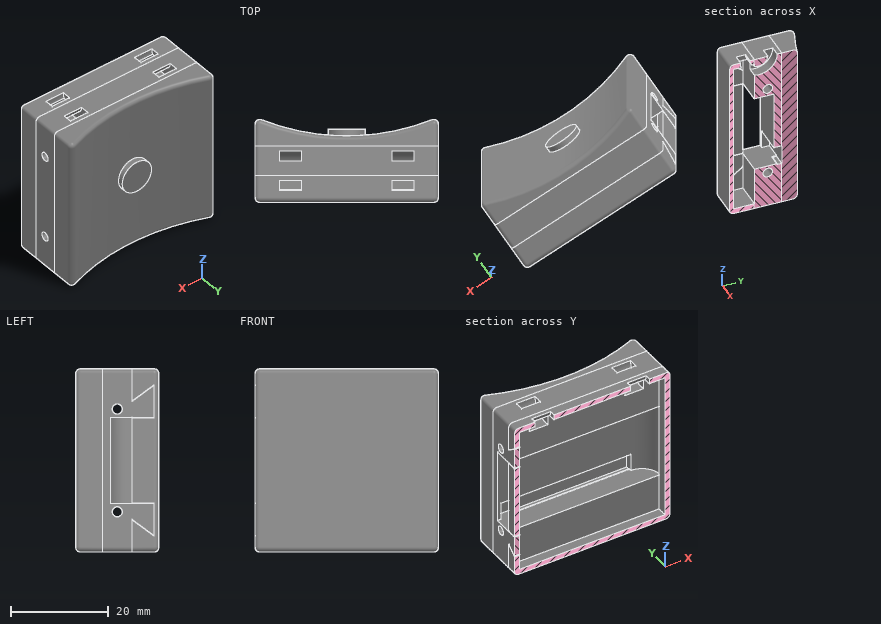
import cadquery as cq
import math

side = 37.5
half = side / 2
edge_radius = 1.0
lid_depth = 5.5
housing_depth = 6.05
housing_back = lid_depth + housing_depth

total_depth = 17.01
curve_radius = 47.5
curve_centre_y = total_depth - edge_radius + math.sqrt(
    (curve_radius + edge_radius) ** 2 - (half - edge_radius) ** 2
)
curve_low_y = curve_centre_y - curve_radius
raw_corner_y = curve_centre_y - math.sqrt(curve_radius**2 - half**2)

plate = 1.0
wall = 1.3
dovetail_root = 12.05
dovetail_tip = 15.35
slide_gap = 0.08

cavity_half_height = 8.78
cavity_back = 9.85
cavity_end_radius = cavity_back - lid_depth
cavity_end_x = half - plate
window_wall = 0.85
window_start_x = -half + window_wall
window_end_x = cavity_end_x - cavity_end_radius
window_height = 4.1
groove_start_x = -14.1
groove_width = 1.0
groove_depth = 0.2
pin_hole_diameter = 2.0
pin_hole_y = 8.5
pin_hole_z = 10.5

strap_width = 4.5
strap_x = 11.5
strap_centre_y = 6.5
strap_inner_radius = 2.0
strap_outer_radius = 4.05

button_diameter = 7.62
button_top_y = 15.0


def block(x_range, y_range, z_range):
    """Box given by its limits along each axis."""
    size = [high - low for low, high in (x_range, y_range, z_range)]
    corner = (x_range[0], y_range[0], z_range[0])
    return cq.Workplane("XY").box(*size, centered=False).translate(corner)


def make_envelope():
    """Whole rounded case with the hollow back, before it is split into bodies."""
    outline = (
        cq.Workplane("XY", origin=(0, 0, -half))
        .moveTo(-half, 0)
        .lineTo(half, 0)
        .lineTo(half, raw_corner_y)
        .threePointArc((0, curve_low_y), (-half, raw_corner_y))
        .close()
    )
    return outline.extrude(side).edges().fillet(edge_radius)


def make_slab(y_start, y_end):
    """Slice of the envelope between two Y planes."""
    return envelope.intersect(block((-half, half), (y_start, y_end), (-half, half)))


def make_strap_channels():
    """Half-ring channels that enter the top face in the housing and leave it in the lid."""
    channels = cq.Workplane("YZ")
    for x in (-strap_x, strap_x):
        ring = (
            cq.Workplane("YZ", origin=(x - strap_width / 2, strap_centre_y, half))
            .circle(strap_outer_radius)
            .circle(strap_inner_radius)
            .extrude(strap_width)
        )
        channels = channels.add(ring)
    return channels.combine()


def make_cavity():
    """Bay open at the -X side, with a rounded far corner."""
    return (
        cq.Workplane("XY", origin=(0, 0, -cavity_half_height))
        .moveTo(-half, plate)
        .lineTo(-half, cavity_back)
        .lineTo(window_end_x, cavity_back)
        .radiusArc((cavity_end_x, lid_depth), cavity_end_radius)
        .lineTo(cavity_end_x, plate)
        .close()
        .extrude(2 * cavity_half_height)
    )


def make_dovetail(gap):
    """Dovetail on the -X side, widened along Z by a gap: the housing tongue or the lid notch."""
    root = dovetail_root + gap
    tip = dovetail_tip + gap
    profile = [
        (lid_depth, -root),
        (plate, -tip),
        (plate, tip),
        (lid_depth, root),
    ]
    tongue = cq.Workplane("YZ", origin=(-half, 0, 0)).polyline(profile).close().extrude(wall)
    return tongue.intersect(envelope)


def make_lid():
    inner = half - wall
    lid = make_slab(0, lid_depth)
    lid = lid.cut(block((-inner, inner), (plate, lid_depth), (-inner, inner)))
    lid = lid.cut(make_dovetail(slide_gap)).cut(strap_channels)
    tab_half_height = cavity_half_height - slide_gap
    tab = block((-half, -inner), (plate, lid_depth), (-tab_half_height, tab_half_height))
    return lid.union(tab)


def make_housing():
    housing = make_slab(lid_depth, housing_back).union(make_dovetail(0))
    housing = housing.cut(make_cavity()).cut(strap_channels)
    window = block(
        (window_start_x, window_end_x),
        (lid_depth, housing_back),
        (-cavity_half_height, window_height - cavity_half_height),
    )
    groove = block(
        (groove_start_x, window_end_x),
        (housing_back - groove_width, housing_back),
        (-cavity_half_height - groove_depth, -cavity_half_height),
    )
    pin_holes = (
        cq.Workplane("YZ", origin=(-half, 0, 0))
        .pushPoints([(pin_hole_y, -pin_hole_z), (pin_hole_y, pin_hole_z)])
        .circle(pin_hole_diameter / 2)
        .extrude(side)
    )
    return housing.cut(window).cut(groove).cut(pin_holes)


def make_button():
    """Round push button that passes through the back at its centre."""
    return (
        cq.Workplane("XZ", origin=(0, housing_back, 0))
        .circle(button_diameter / 2)
        .extrude(-(button_top_y - housing_back))
    )


def make_back():
    return make_slab(housing_back, total_depth).cut(button)


envelope = make_envelope()
strap_channels = make_strap_channels()
button = make_button()
lid = make_lid()
housing = make_housing()
back = make_back()

result = cq.Compound.makeCompound([body.solids().val() for body in (lid, housing, back, button)])